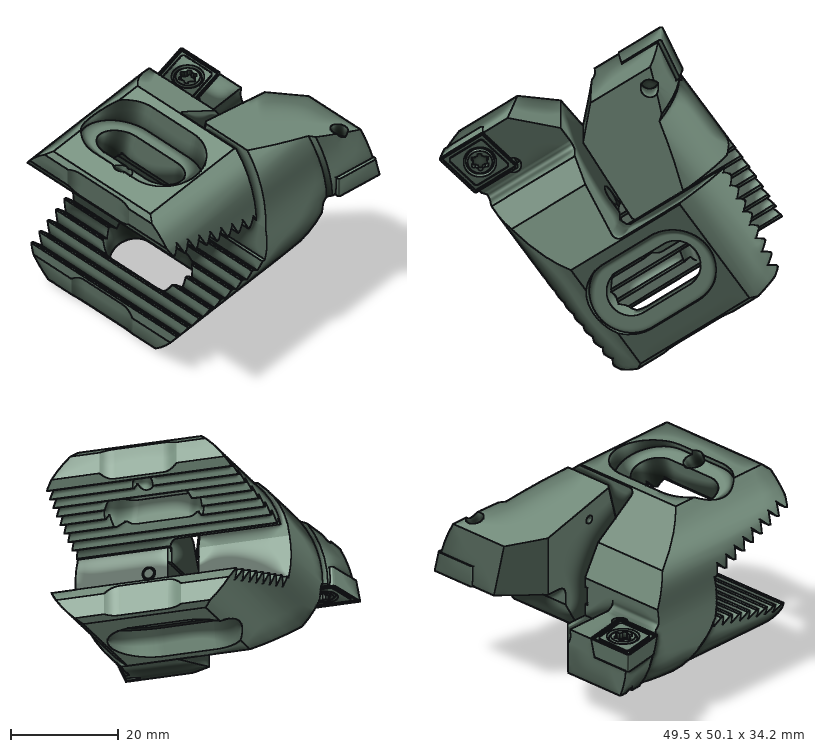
import cadquery as cq
import math


TILT = 15.0
TAN = math.tan(math.radians(TILT))
SIN = math.sin(math.radians(TILT))
COS = math.cos(math.radians(TILT))
HALF_HEIGHT = 17.11
AXIS_X = -0.45
BODY_RADIUS = 21.0
FLARE_RADIUS = 21.7
FLARE_START = 39.75
FLARE_ANGLE = 10.0
NECK_Y = 38.9
GAP_HALF = 2.5
REACH = 60.1

BLOCK_BACK = 22.45
BLOCK_BACK_LOW = -3.75
UNDERSIDE_FRONT_Z = -10.4
FACE_RELIEF = 1.35
FRONT_Y = 49.5
LEAD = 0.4
FLOOR_Z = -0.15
FLOOR_BACK = 38.0
FLOOR_FILLET = 1.6
STEEP_TOP = (34.45, 9.8)
STEEP_FOOT_Z = 3.7
FLAT_FRONT = 24.2
JAW_FRONT = 24.45
CORNER_FILLET = 1.5
INNER_CORNER_WIDTH = 7.0
INNER_CORNER_LENGTH = 7.2
BACK_CHAMFER = 0.55
STEP_DEPTH = 4.0
STEP_OUTER_X = -9.6
STEP_FILLET = 2.95

TOOTH_PITCH = 2.73
TOOTH_COUNT = 8
FIRST_ROOT = (21.05, 6.8)
CREST_STEPS = [(-1.45, -1.45), (-1.95, -1.55)]
JAW_HEEL = (21.8, 4.6)
JAW_END_Z = 12.0
END_CHAMFER = 1.0
RECESS_DEPTH = 0.45
RECESS_FLAT = 9.7
RECESS_WIDTH = 15.35
SLOT_X = -1.65
SLOT_Y = 13.9
SLOT_TRAVEL = 10.25
SLOT_DIAMETER = 9.0
COUNTERBORE_DIAMETER = 15.5
COUNTERBORE_DEPTH = 3.25
JAW_HOLE_DIAMETER = 4.0
JAW_HOLE_X = -0.7
JAW_HOLE_Y = 6.8
JAW_HOLE_Z = 15.8
JAW_HOLE_LEAN = 30.0

FIRST_NOTCH_HEIGHT = 3.6
GUIDE_PIN_DIAMETER = 4.0
GUIDE_PIN_Y = 26.05
GUIDE_PIN_LENGTH = 6.0
COOLANT_DIAMETER = 1.6
COOLANT_Y = 31.55
COOLANT_Z = -11.65
COOLANT_DEPTH = 4.0
PLUG_DIAMETER = 2.5
PLUG_FACE_DIAMETER = 2.0
PLUG_LENGTH = 5.0
PLUG_X = -6.85

NOSE_X = -24.825
NOSE_OVERHANG = 0.2
INSERT_SIDE = 9.8
INSERT_LEAN = 10.0
INSERT_THICKNESS = 3.95
INSERT_RELIEF = 7.0
NOSE_RADIUS = 0.4
LAND = 0.4
PLATEAU_INSET = 1.1
PLATEAU_RADIUS = 0.6
CHIP_DEPTH = 0.25
INSERT_HOLE = 4.4
SINK_DIAMETER = 6.1
SINK_DEPTH = 1.5
HEAD_DIAMETER = 5.25
HEAD_BEVEL = 0.35
SCREW_DIAMETER = 3.3
SCREW_SHIFT = 0.25
SCREW_END_Z = -8.0
SOCKET_RADIUS = 1.35
LOBE_RADIUS = 0.4
LOBE_COUNT = 6
SOCKET_DEPTH = 1.25
CORNER_RELIEF_DIAMETER = 3.0
CORNER_RELIEF_INSET = 0.8

INSERT_X = NOSE_X + INSERT_SIDE * (1 + math.sin(math.radians(INSERT_LEAN))) / 2
SCREW_X = INSERT_X + SCREW_SHIFT
INSERT_DROP = INSERT_SIDE * math.cos(math.radians(INSERT_LEAN)) / 2


def half_turn(part):
    """Turn a part half a turn about the tool axis."""
    return part.rotate((0, 0, 0), (0, 1, 0), 180)


def insert_center_y(lead):
    """Y of the middle of the insert and of its screw."""
    return FRONT_Y + lead + NOSE_OVERHANG - INSERT_DROP


def envelope():
    """Round outside of a cartridge: cylinder, short neck cone and flared head."""
    end_radius = FLARE_RADIUS + (REACH - FLARE_START) * math.tan(math.radians(FLARE_ANGLE))
    outline = [
        (0, 0),
        (BODY_RADIUS, 0),
        (BODY_RADIUS, NECK_Y),
        (FLARE_RADIUS, FLARE_START),
        (end_radius, REACH),
        (0, REACH),
    ]
    solid = cq.Workplane("XY").polyline(outline).close().revolve(360, (0, 0, 0), (0, 1, 0))
    return solid.translate((AXIS_X, 0, 0))


def tooth_points():
    """Serration outline (y, z), from the foremost root to the crest at the jaw's end."""
    points = []
    for i in range(TOOTH_COUNT):
        root_y = FIRST_ROOT[0] - i * TOOTH_PITCH * COS
        root_z = FIRST_ROOT[1] + i * TOOTH_PITCH * SIN
        points.append((root_y, root_z))
        for step_y, step_z in CREST_STEPS:
            points.append((root_y + step_y, root_z + step_z))
    return points


def side_solid(lead):
    """Side outline of jaw and block, carried across the whole width."""
    front = FRONT_Y + lead
    low_y = front - FACE_RELIEF
    heel_y = BLOCK_BACK + (BLOCK_BACK_LOW - UNDERSIDE_FRONT_Z) * TAN + low_y * TAN**2
    heel_y /= 1 + TAN**2
    heel_z = UNDERSIDE_FRONT_Z - (low_y - heel_y) * TAN
    outline = (
        cq.Workplane("YZ")
        .moveTo(END_CHAMFER, HALF_HEIGHT)
        .lineTo(FLAT_FRONT, HALF_HEIGHT)
        .lineTo(*STEEP_TOP)
        .lineTo(FLOOR_BACK, STEEP_FOOT_Z)
        .lineTo(FLOOR_BACK, FLOOR_Z + FLOOR_FILLET)
        .radiusArc((FLOOR_BACK + FLOOR_FILLET, FLOOR_Z), -FLOOR_FILLET)
        .lineTo(front, FLOOR_Z)
        .lineTo(low_y, UNDERSIDE_FRONT_Z)
        .lineTo(heel_y, heel_z)
        .lineTo(BLOCK_BACK, BLOCK_BACK_LOW)
        .lineTo(BLOCK_BACK, JAW_HEEL[1])
        .lineTo(*JAW_HEEL)
    )
    for point in tooth_points():
        outline = outline.lineTo(*point)
    outline = outline.lineTo(0, JAW_END_Z).lineTo(0, HALF_HEIGHT - END_CHAMFER)
    return outline.close().extrude(REACH / 2, both=True)


def gap_cutter():
    """Space for the other cartridge: ahead of the jaw's leaning front, beside the block."""
    plane = cq.Plane(
        origin=(-GAP_HALF, JAW_FRONT, HALF_HEIGHT), xDir=(1, 0, 0), normal=(0, SIN, COS)
    )
    block = cq.Workplane(plane).rect(REACH, REACH, centered=False).extrude(REACH, both=True)
    corner = cq.selectors.NearestToPointSelector((-GAP_HALF, JAW_FRONT, HALF_HEIGHT))
    return block.edges(corner).fillet(CORNER_FILLET)


def inner_edge_cutter():
    """Slanting cuts at the front and back corners of the block's inner wall."""
    corner_y = FRONT_Y + LEAD - INNER_CORNER_LENGTH
    end_y = corner_y + 2 * INNER_CORNER_LENGTH
    front = cq.Workplane("XY").polyline([
        (-GAP_HALF, corner_y),
        (-GAP_HALF - 2 * INNER_CORNER_WIDTH, end_y),
        (-GAP_HALF, end_y),
    ]).close().extrude(HALF_HEIGHT, both=True)
    plane = cq.Plane(
        origin=(-GAP_HALF, BLOCK_BACK, BLOCK_BACK_LOW), xDir=(1, 0, 0), normal=(0, 0, 1)
    )
    back_outline = [(-BACK_CHAMFER, 0), (0, BACK_CHAMFER), (0, 0)]
    back_height = JAW_HEEL[1] - BLOCK_BACK_LOW
    back = cq.Workplane(plane).polyline(back_outline).close().extrude(back_height)
    leaning = cq.Plane(
        origin=(-GAP_HALF, BLOCK_BACK, BLOCK_BACK_LOW), xDir=(1, 0, 0), normal=(0, -SIN, COS)
    )
    low = cq.Workplane(leaning).polyline(back_outline).close().extrude(-HALF_HEIGHT)
    return front.union(back).union(low)


def floor_step_cutter():
    """Deep step in the cutting floor next to the gap, with a large fillet along its foot."""
    step_z = FLOOR_Z - STEP_DEPTH
    outline = (
        cq.Workplane("XZ", origin=(0, FLOOR_BACK, 0))
        .moveTo(STEP_OUTER_X, FLOOR_Z + FLOOR_FILLET)
        .lineTo(STEP_OUTER_X, step_z + STEP_FILLET)
        .radiusArc((STEP_OUTER_X + STEP_FILLET, step_z), -STEP_FILLET)
        .lineTo(0, step_z)
        .lineTo(0, FLOOR_Z + FLOOR_FILLET)
    )
    return outline.close().extrude(-REACH)


def jaw_slot_cutter():
    """Clamping slot square to the serrations, with its long counterbore."""
    plane = cq.Workplane(cq.Plane(
        origin=(SLOT_X, SLOT_Y, HALF_HEIGHT), xDir=(1, 0, 0), normal=(0, SIN, COS)
    ))
    counterbore_length = SLOT_TRAVEL + COUNTERBORE_DIAMETER
    counterbore = (
        plane.workplane(offset=-COUNTERBORE_DEPTH)
        .slot2D(counterbore_length, COUNTERBORE_DIAMETER)
        .extrude(2 * COUNTERBORE_DEPTH)
    )
    slot_length = SLOT_TRAVEL + SLOT_DIAMETER
    slot = plane.slot2D(slot_length, SLOT_DIAMETER).extrude(-HALF_HEIGHT)
    return counterbore.union(slot)


def end_recess_cutter():
    """Shallow recess in the jaw's end face; its sides are arcs tangent to its floor."""
    run = (RECESS_WIDTH - RECESS_FLAT) / 2
    side_radius = (run**2 + RECESS_DEPTH**2) / (2 * RECESS_DEPTH)
    return (
        cq.Workplane("XY", origin=(AXIS_X, 0, 0))
        .moveTo(-RECESS_WIDTH / 2, 0)
        .radiusArc((-RECESS_FLAT / 2, RECESS_DEPTH), side_radius)
        .lineTo(RECESS_FLAT / 2, RECESS_DEPTH)
        .radiusArc((RECESS_WIDTH / 2, 0), side_radius)
        .close()
        .extrude(HALF_HEIGHT)
    )


def jaw_hole_cutter():
    """Slanting hole through the jaw behind the slot."""
    lean = math.radians(JAW_HOLE_LEAN)
    plane = cq.Plane(
        origin=(JAW_HOLE_X, JAW_HOLE_Y, JAW_HOLE_Z),
        xDir=(1, 0, 0),
        normal=(0, math.sin(lean), math.cos(lean)),
    )
    return cq.Workplane(plane).circle(JAW_HOLE_DIAMETER / 2).extrude(HALF_HEIGHT / 2, both=True)


def wall_notch_cutter(height, end_y):
    """Shallow groove along the block's inner wall, from the back up to the given Y."""
    plane = cq.Workplane("XZ", origin=(-GAP_HALF, 0, 0))
    return plane.rect(2 * BACK_CHAMFER, height).extrude(-end_y)


def make_guide_pin():
    """Pin across the block; its end lies flush with the inner wall."""
    plane = cq.Workplane("YZ", origin=(-GAP_HALF, GUIDE_PIN_Y, 0))
    return plane.circle(GUIDE_PIN_DIAMETER / 2).extrude(-GUIDE_PIN_LENGTH)


def coolant_cutter():
    """Coolant outlet in the block's inner wall."""
    plane = cq.Workplane("YZ", origin=(-GAP_HALF, COOLANT_Y, COOLANT_Z))
    return plane.circle(COOLANT_DIAMETER / 2).extrude(-COOLANT_DEPTH)


def rhombus(lead, inset):
    """Closed rhombus on the insert's top plane, drawn in from its edges by the inset."""
    lean = math.radians(INSERT_LEAN)
    side = INSERT_SIDE - 2 * inset / math.cos(lean)
    step_x = side * math.sin(lean)
    step_y = side * math.cos(lean)
    left = INSERT_X - (side + step_x) / 2
    top = insert_center_y(lead) + step_y / 2
    return cq.Workplane("XY").polyline([
        (left, top),
        (left + side, top),
        (left + side + step_x, top - step_y),
        (left + step_x, top - step_y),
    ]).close()


def insert_blank(lead):
    """Insert without its hole and chip groove; also the shape of its seat."""
    blank = rhombus(lead, 0).extrude(-INSERT_THICKNESS, taper=INSERT_RELIEF)
    return blank.edges("not #Z").fillet(NOSE_RADIUS)


def turned(profile, lead):
    """Revolve an (r, z) profile about the insert screw's axis."""
    solid = cq.Workplane("XZ").polyline(profile).close().revolve(360, (0, 0, 0), (0, 1, 0))
    return solid.translate((SCREW_X, insert_center_y(lead), 0))


def make_insert(lead):
    """Rhombic cutting insert with a chip groove and a countersunk hole."""
    groove = rhombus(lead, LAND).extrude(-CHIP_DEPTH)
    plateau = rhombus(lead, PLATEAU_INSET).extrude(-CHIP_DEPTH)
    groove = groove.cut(plateau.edges("|Z").fillet(PLATEAU_RADIUS))
    hole = turned([
        (0, 0),
        (SINK_DIAMETER / 2, 0),
        (INSERT_HOLE / 2, -SINK_DEPTH),
        (INSERT_HOLE / 2, -INSERT_THICKNESS),
        (0, -INSERT_THICKNESS),
    ], lead)
    return insert_blank(lead).cut(groove).cut(hole)


def make_screw(lead):
    """Countersunk insert screw with a six-lobed socket."""
    sink_slope = 2 * SINK_DEPTH / (SINK_DIAMETER - INSERT_HOLE)
    rim_z = -(SINK_DIAMETER - HEAD_DIAMETER) / 2 * sink_slope
    screw = turned([
        (0, 0),
        (HEAD_DIAMETER / 2 - HEAD_BEVEL, 0),
        (HEAD_DIAMETER / 2, -HEAD_BEVEL),
        (HEAD_DIAMETER / 2, rim_z),
        (INSERT_HOLE / 2, -SINK_DEPTH),
        (SCREW_DIAMETER / 2, -SINK_DEPTH),
        (SCREW_DIAMETER / 2, SCREW_END_Z),
        (0, SCREW_END_Z),
    ], lead)
    top = cq.Workplane("XY", origin=(SCREW_X, insert_center_y(lead), 0))
    socket = top.circle(SOCKET_RADIUS).extrude(-SOCKET_DEPTH)
    lobes = top.polarArray(SOCKET_RADIUS, 0, 360, LOBE_COUNT).circle(LOBE_RADIUS).extrude(-SOCKET_DEPTH)
    return screw.cut(socket).cut(lobes)


def seat_cutter(lead):
    """Insert seat with the screw hole and the relief at the seat's inner corner."""
    center = cq.Workplane("XY", origin=(INSERT_X, insert_center_y(lead), 0))
    screw_hole = center.center(SCREW_SHIFT, 0).circle(SCREW_DIAMETER / 2).extrude(-HALF_HEIGHT)
    corner_x = INSERT_X - NOSE_X
    relief = (
        center.center(corner_x - CORNER_RELIEF_INSET, CORNER_RELIEF_INSET - INSERT_DROP)
        .circle(CORNER_RELIEF_DIAMETER / 2)
        .extrude(-INSERT_THICKNESS)
    )
    return insert_blank(lead).union(screw_hole).union(relief)


def plug_hole_cutter():
    """Blind hole for the plug in the back face of the first block."""
    plane = cq.Workplane("XZ", origin=(PLUG_X, BLOCK_BACK, 0))
    return plane.circle(PLUG_DIAMETER / 2).extrude(-PLUG_LENGTH)


def make_plug():
    """Plug that fills its hole, flush with the back face, with a bevelled rim."""
    bevel = (PLUG_DIAMETER - PLUG_FACE_DIAMETER) / 2
    return plug_hole_cutter().faces("<Y").chamfer(bevel)


def make_cartridge(lead):
    """Cartridge features that both copies share."""
    body = side_solid(lead).intersect(envelope())
    cutters = [
        gap_cutter(),
        inner_edge_cutter(),
        jaw_slot_cutter(),
        end_recess_cutter(),
        coolant_cutter(),
        seat_cutter(lead),
    ]
    for cutter in cutters:
        body = body.cut(cutter)
    return body


first_cartridge = make_cartridge(0)
first_cutters = [
    floor_step_cutter(),
    wall_notch_cutter(FIRST_NOTCH_HEIGHT, REACH),
    jaw_hole_cutter(),
    plug_hole_cutter(),
]
for cutter in first_cutters:
    first_cartridge = first_cartridge.cut(cutter)

second_cartridge = make_cartridge(LEAD)
for cutter in [wall_notch_cutter(GUIDE_PIN_DIAMETER, GUIDE_PIN_Y), make_guide_pin()]:
    second_cartridge = second_cartridge.cut(cutter)

bodies = [first_cartridge, half_turn(second_cartridge), make_plug(), half_turn(make_guide_pin())]
for make_part in [make_insert, make_screw]:
    bodies.append(make_part(0))
    bodies.append(half_turn(make_part(LEAD)))

result = cq.Compound.makeCompound([body.solids().val() for body in bodies])